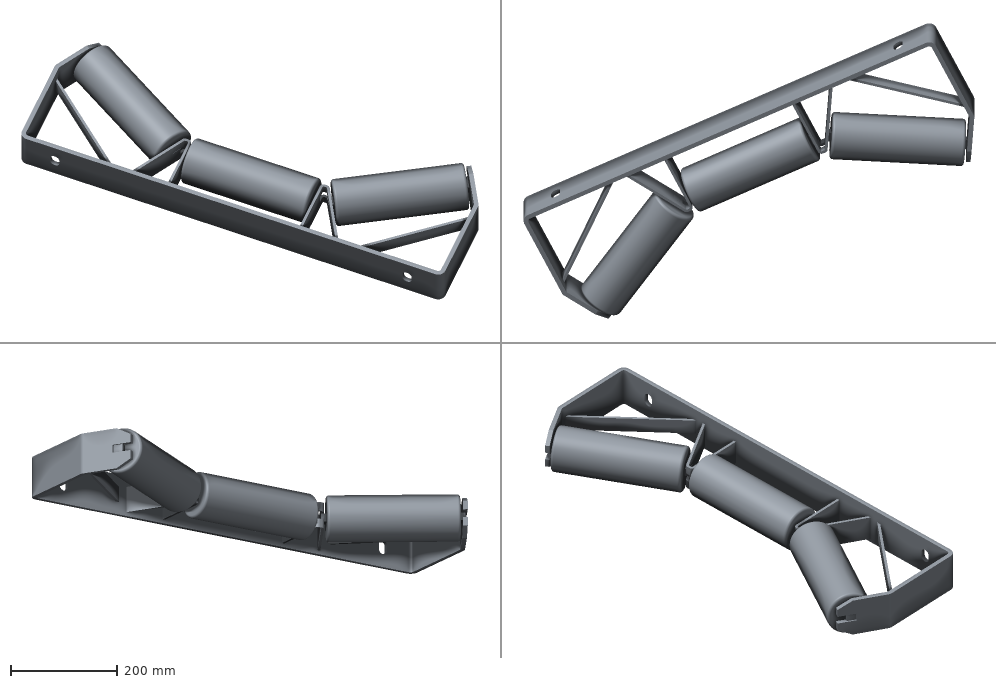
import cadquery as cq
import math

frame_width = 860.0
frame_height = 79.0
bar_thickness = 9.0
corner_radius = 6.0
arm_radius = 3.0
arm_bend_height = 180.0
arm_length = 104.0
tip_chamfer_length = 30.0
tip_chamfer_height = 15.5

mount_spacing = 715.5
mount_slot_width = 19.0
mount_slot_height = 27.5

lean_angle = 30.0
tilt_angle = 1.5
roller_diameter = 89.0
roller_length = 252.0
roller_fillet = 5.0
tang_width = 19.0
tang_height = 15.5
slot_reach = 86.0
roller_gap = 5.0
middle_roller_y = 101.5
outer_roller_x = 272.0
outer_roller_y = 175.5
middle_roller_z = -7.0

sheet_thickness = 5.0
bracket_height = 50.0
brace_height = 30.0
bracket_radius = 3.0
bracket_top = 129.0
bracket_web = 16.0
brace_arm_y = 168.5
brace_foot_x = 234.0

roller_sides = (-1, 0, 1)
half_width = frame_width / 2
lean = math.radians(lean_angle)
tilt = math.radians(tilt_angle)
shaft_length = roller_length + 2 * (roller_gap + sheet_thickness)
outer_roller_z = middle_roller_z + roller_length / 2 * math.sin(tilt)


def inside_corners(path, thickness):
    """Offset an open path to its left by the thickness, with sharp corners."""
    normals = []
    for (x0, y0), (x1, y1) in zip(path, path[1:]):
        length = math.hypot(x1 - x0, y1 - y0)
        normals.append(((y0 - y1) / length, (x1 - x0) / length))
    before = [normals[0]] + normals
    after = normals + [normals[-1]]
    corners = []
    for (x, y), (ax, ay), (bx, by) in zip(path, before, after):
        reach = thickness / (1 + ax * bx + ay * by)
        corners.append((x + reach * (ax + bx), y + reach * (ay + by)))
    return corners


def bent_strip(path, thickness, height, inside_radii):
    """Upright strip whose outside face follows the path, rounded at each bend."""
    inside = inside_corners(path, thickness)
    strip = cq.Workplane("XY").polyline(path + inside[::-1]).close().extrude(height / 2, both=True)
    for outer, inner, radius in zip(path[1:-1], inside[1:-1], inside_radii):
        strip = strip.edges(cq.NearestToPointSelector((*outer, 0))).fillet(radius + thickness)
        strip = strip.edges(cq.NearestToPointSelector((*inner, 0))).fillet(radius)
    return strip


def make_tip_corner(side, end):
    """Wedge cut from one corner of an arm tip; side picks the arm, end its top or bottom."""
    edge_z = end * frame_height / 2
    shoulder_z = end * (frame_height / 2 - tip_chamfer_height)
    return (
        cq.Workplane("YZ")
        .polyline([(0, edge_z), (-tip_chamfer_length, edge_z), (0, shoulder_z)])
        .close()
        .extrude(2 * bar_thickness, both=True)
        .rotate((0, 0, 0), (0, 0, 1), side * lean_angle)
    )


def make_channel():
    """Base bar with its two arms, chamfered tips and mounting slots."""
    tip_x = half_width - arm_length * math.sin(lean)
    tip_y = arm_bend_height + arm_length * math.cos(lean)
    path = [
        (-tip_x, tip_y),
        (-half_width, arm_bend_height),
        (-half_width, 0),
        (half_width, 0),
        (half_width, arm_bend_height),
        (tip_x, tip_y),
    ]
    radii = [arm_radius, corner_radius, corner_radius, arm_radius]
    channel = bent_strip(path, bar_thickness, frame_height, radii)

    for side in (-1, 1):
        for end in (-1, 1):
            channel = channel.cut(make_tip_corner(side, end).translate((side * tip_x, tip_y, 0)))

    mount_slots = (
        cq.Workplane("XZ")
        .pushPoints([(-mount_spacing / 2, 0), (mount_spacing / 2, 0)])
        .slot2D(mount_slot_height, mount_slot_width, 90)
        .extrude(-bar_thickness)
    )
    return channel.cut(mount_slots)


def make_bracket():
    """Left bracket: an upright leg, a top web and a leg leaning like the arm."""
    upright_x = -(roller_length / 2 + roller_gap)
    web_end_x = upright_x - bracket_web
    drop = bracket_top - bar_thickness
    path = [
        (upright_x, bar_thickness),
        (upright_x, bracket_top),
        (web_end_x, bracket_top),
        (web_end_x - drop * math.tan(lean), bar_thickness),
    ]
    bracket = bent_strip(path, sheet_thickness, bracket_height, [bracket_radius] * 2)
    return bracket.translate((0, 0, middle_roller_z))


def make_brace():
    """Left diagonal brace from the arm down to the base bar."""
    arm_x = -half_width + bar_thickness
    run = -brace_foot_x - arm_x
    rise = brace_arm_y - bar_thickness
    slope = math.atan2(rise, run)
    drop = sheet_thickness / math.cos(slope)
    shift = sheet_thickness / math.sin(slope)
    return (
        cq.Workplane("XY")
        .polyline([
            (arm_x, brace_arm_y),
            (-brace_foot_x, bar_thickness),
            (-brace_foot_x - shift, bar_thickness),
            (arm_x, brace_arm_y - drop),
        ])
        .close()
        .extrude(brace_height / 2, both=True)
    )


def place_roller(shape, side):
    """Move a shape built along X at the origin to the left, middle or right roller."""
    if side == 0:
        return shape.translate((0, middle_roller_y, middle_roller_z))
    return (
        shape
        .rotate((0, 0, 0), (0, 1, 0), -side * tilt_angle)
        .rotate((0, 0, 0), (0, 0, 1), side * lean_angle)
        .translate((side * outer_roller_x, outer_roller_y, outer_roller_z))
    )


def make_roller():
    """Roller along X at the origin, with a flat tang at each end of its shaft."""
    barrel = (
        cq.Workplane("XZ")
        .moveTo(-roller_length / 2, 0)
        .lineTo(-roller_length / 2, roller_diameter / 2)
        .lineTo(roller_length / 2, roller_diameter / 2)
        .lineTo(roller_length / 2, 0)
        .close()
        .revolve(360, (0, 0, 0), (1, 0, 0))
        .edges("%CIRCLE")
        .fillet(roller_fillet)
    )
    shaft = cq.Workplane("XY").box(shaft_length, tang_width, tang_height)
    return barrel.union(shaft)


def make_shaft_slots():
    """Cutter for the slots that hold both tangs of a roller, open towards +Y."""
    return (
        cq.Workplane("XY")
        .box(shaft_length + 2 * bar_thickness, slot_reach, tang_height)
        .translate((0, (slot_reach - tang_width) / 2, 0))
    )


def make_frame():
    """Channel with a bracket and a brace welded in on each side, slotted for the shafts."""
    frame = make_channel()
    for part in (make_bracket(), make_brace()):
        frame = frame.union(part).union(part.mirror("YZ"))
    for side in roller_sides:
        frame = frame.cut(place_roller(make_shaft_slots(), side))
    return frame


frame = make_frame()
rollers = [place_roller(make_roller(), side) for side in roller_sides]

result = cq.Compound.makeCompound([frame.val(), *[roller.val() for roller in rollers]])